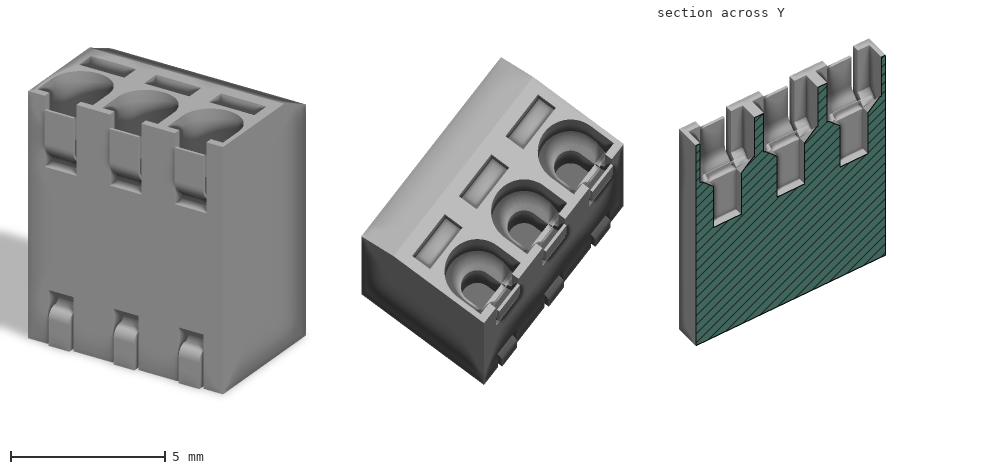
import cadquery as cq
import math

WIDTH = 7.5
DEPTH = 5.0
HEIGHT = 9.0
BEVEL_DEPTH = 1.31
BEVEL_DROP = 0.585

POLE_COUNT = 3
POLE_PITCH = 2.5
FIRST_POLE_X = WIDTH / 2 - POLE_PITCH * (POLE_COUNT - 1) / 2

SLOT_WIDTH = 1.75
SLOT_FRONT_Y = 2.48
SLOT_BACK_Y = 3.21
SLOT_DEPTH = 0.48
SLOT_BACK_SLANT = 0.045

ENTRY_RADIUS = 1.07
ENTRY_CENTRE_Y = 1.215
BORE_RADIUS = 0.54
FRONT_WALL = 0.27
FUNNEL_TOP_Z = HEIGHT - 1.68
FUNNEL_BOTTOM_Z = FUNNEL_TOP_Z - (ENTRY_RADIUS - BORE_RADIUS)
BORE_FLOOR_Z = 4.95
BORE_FRONT_Y = 0.65

POCKET_EDGE_Z = 7.14
POCKET_FLOOR_Z = 6.75
POCKET_BACK_Y = 0.97
PLATE_WIDTH = 2.01
PLATE_FRONT_Y = 0.45
PLATE_STEP_Y = 0.52
PLATE_RISE = 0.07

UPPER_NOTCH_WIDTH = 1.215
UPPER_NOTCH_FLOOR_Z = 6.42
UPPER_NOTCH_DEPTH = 0.47
UPPER_CLIP_WIDTH = 1.1
UPPER_CLIP_THICKNESS = 0.1
UPPER_CLIP_TOP_Z = 8.53
UPPER_CLIP_BEND_Z = 7.31
UPPER_CLIP_BOTTOM_Z = 6.57
UPPER_BEND_RADIUS = 0.5
UPPER_SLOPE_RUN = 0.29
UPPER_TOE_RUN = 0.04

LOWER_NOTCH_WIDTH = 1.01
LOWER_NOTCH_TOP_Z = 1.97
LOWER_NOTCH_DEPTH = 0.495
LOWER_RAMP_TOP_Z = 0.78
LOWER_RAMP_RUN = 0.27
LOWER_CLIP_WIDTH = 0.8
LOWER_CLIP_BEND_Z = 0.96
LOWER_CLIP_TOP_Z = 1.5
LOWER_BEND_RADIUS = 0.39

CLIP_PROTRUSION = 0.1
EMBED = 0.09


def across(x, width, sketch):
    """Extrude a closed YZ sketch symmetrically about the plane at x."""
    return sketch.extrude(width / 2, both=True).translate((x, 0, 0))


def yz_polygon(points):
    return cq.Workplane("YZ").polyline(points).close()


def box(x, width, y_range, z_range):
    y0, y1 = y_range
    z0, z1 = z_range
    return across(x, width, yz_polygon([(y0, z0), (y1, z0), (y1, z1), (y0, z1)]))


def rounded_passage(x, radius, front_y, z_range):
    """Vertical passage with a flat front and a semicircular back."""
    z0, z1 = z_range
    return (
        cq.Workplane("XY", origin=(x, 0, z0))
        .moveTo(-radius, front_y)
        .lineTo(radius, front_y)
        .lineTo(radius, ENTRY_CENTRE_Y)
        .threePointArc((0, ENTRY_CENTRE_Y + radius), (-radius, ENTRY_CENTRE_Y))
        .close()
        .extrude(z1 - z0)
    )


def housing():
    profile = yz_polygon([
        (0, 0),
        (DEPTH, 0),
        (DEPTH, HEIGHT - BEVEL_DROP),
        (DEPTH - BEVEL_DEPTH, HEIGHT),
        (0, HEIGHT),
    ])
    return across(WIDTH / 2, WIDTH, profile)


def test_slot(x):
    """Shallow slot whose back wall leans slightly forward toward the floor."""
    floor_z = HEIGHT - SLOT_DEPTH
    profile = yz_polygon([
        (SLOT_FRONT_Y, HEIGHT),
        (SLOT_FRONT_Y, floor_z),
        (SLOT_BACK_Y - SLOT_BACK_SLANT, floor_z),
        (SLOT_BACK_Y, HEIGHT),
    ])
    return across(x, SLOT_WIDTH, profile)


def funnel(x):
    """Cone at the back, continued forward by straight sloping sides."""
    half_section = [
        (0, FUNNEL_BOTTOM_Z),
        (BORE_RADIUS, FUNNEL_BOTTOM_Z),
        (ENTRY_RADIUS, FUNNEL_TOP_Z),
        (0, FUNNEL_TOP_Z),
    ]
    plane = cq.Workplane("XZ", origin=(x, ENTRY_CENTRE_Y, 0))
    cone = plane.polyline(half_section).close().revolve(360, (0, 0), (0, 1))
    throat = (
        plane.polyline([
            (-BORE_RADIUS, FUNNEL_BOTTOM_Z),
            (BORE_RADIUS, FUNNEL_BOTTOM_Z),
            (ENTRY_RADIUS, FUNNEL_TOP_Z),
            (-ENTRY_RADIUS, FUNNEL_TOP_Z),
        ])
        .close()
        .extrude(ENTRY_CENTRE_Y - BORE_FRONT_Y)
    )
    return cone.union(throat)


def contact_pocket(x):
    profile = yz_polygon([
        (FRONT_WALL, FUNNEL_TOP_Z),
        (FRONT_WALL, POCKET_EDGE_Z),
        (BORE_FRONT_Y, POCKET_FLOOR_Z),
        (POCKET_BACK_Y, FUNNEL_TOP_Z),
    ])
    return across(x, 2 * ENTRY_RADIUS, profile)


def contact_plate(x):
    """Plate on the pocket slope, ending flush with the front of the bore."""
    slope = (POCKET_EDGE_Z - POCKET_FLOOR_Z) / (BORE_FRONT_Y - FRONT_WALL)
    front_z = POCKET_EDGE_Z - slope * (PLATE_FRONT_Y - FRONT_WALL)
    step_z = POCKET_EDGE_Z - slope * (PLATE_STEP_Y - FRONT_WALL)
    profile = yz_polygon([
        (PLATE_FRONT_Y, front_z),
        (PLATE_STEP_Y, step_z + PLATE_RISE),
        (BORE_FRONT_Y, POCKET_FLOOR_Z + PLATE_RISE),
        (BORE_FRONT_Y, POCKET_FLOOR_Z - EMBED),
        (PLATE_FRONT_Y, front_z - EMBED),
    ])
    return across(x, PLATE_WIDTH, profile)


def wire_entry(x):
    upper = rounded_passage(x, ENTRY_RADIUS, FRONT_WALL, (FUNNEL_TOP_Z, HEIGHT))
    bore = rounded_passage(x, BORE_RADIUS, BORE_FRONT_Y, (BORE_FLOOR_Z, FUNNEL_TOP_Z))
    return upper.union(funnel(x)).union(bore).union(contact_pocket(x))


def upper_notch(x):
    return box(x, UPPER_NOTCH_WIDTH, (0, UPPER_NOTCH_DEPTH), (UPPER_NOTCH_FLOOR_Z, HEIGHT))


def clip_channel(x):
    """Gap through the contact plate and pocket slope for the bent clip end."""
    return box(
        x,
        UPPER_CLIP_WIDTH,
        (UPPER_NOTCH_DEPTH, BORE_FRONT_Y),
        (UPPER_CLIP_BOTTOM_Z, FUNNEL_TOP_Z),
    )


def upper_clip(x):
    """Upright tongue whose lower end bends back at 45 degrees, then runs level."""
    front_y = -CLIP_PROTRUSION
    back_y = front_y + UPPER_CLIP_THICKNESS
    slope_start_y = front_y + UPPER_BEND_RADIUS * (1 - math.sqrt(0.5))
    slope_start_z = UPPER_CLIP_BEND_Z - UPPER_BEND_RADIUS * math.sqrt(0.5)
    slope_end_y = slope_start_y + UPPER_SLOPE_RUN
    slope_end_z = slope_start_z - UPPER_SLOPE_RUN
    slope_offset = UPPER_CLIP_THICKNESS * math.sqrt(0.5)
    profile = (
        cq.Workplane("YZ")
        .moveTo(front_y, UPPER_CLIP_TOP_Z)
        .lineTo(front_y, UPPER_CLIP_BEND_Z)
        .tangentArcPoint((slope_start_y, slope_start_z), relative=False)
        .lineTo(slope_end_y, slope_end_z)
        .lineTo(slope_end_y + UPPER_TOE_RUN, UPPER_CLIP_BOTTOM_Z)
        .lineTo(BORE_FRONT_Y, UPPER_CLIP_BOTTOM_Z)
        .lineTo(BORE_FRONT_Y, slope_end_z + slope_offset)
        .lineTo(slope_end_y + slope_offset, slope_end_z + slope_offset)
        .lineTo(slope_start_y + slope_offset, slope_start_z + slope_offset)
        .tangentArcPoint((back_y, UPPER_CLIP_BEND_Z), relative=False)
        .lineTo(back_y, UPPER_CLIP_TOP_Z)
        .close()
    )
    return across(x, UPPER_CLIP_WIDTH, profile)


def lower_notch(x):
    """Notch open at the bottom, its back wall ramping outward near the base."""
    profile = yz_polygon([
        (0, 0),
        (LOWER_NOTCH_DEPTH - LOWER_RAMP_RUN, 0),
        (LOWER_NOTCH_DEPTH, LOWER_RAMP_TOP_Z),
        (LOWER_NOTCH_DEPTH, LOWER_NOTCH_TOP_Z),
        (0, LOWER_NOTCH_TOP_Z),
    ])
    return across(x, LOWER_NOTCH_WIDTH, profile)


def lower_clip(x):
    """Upright foot with a rounded shoulder that curves up into the notch wall."""
    front_y = -CLIP_PROTRUSION
    profile = (
        cq.Workplane("YZ")
        .moveTo(front_y, 0)
        .lineTo(front_y, LOWER_CLIP_BEND_Z)
        .tangentArcPoint((LOWER_BEND_RADIUS, LOWER_BEND_RADIUS))
        .tangentArcPoint((LOWER_NOTCH_DEPTH, LOWER_CLIP_TOP_Z), relative=False)
        .lineTo(LOWER_NOTCH_DEPTH + EMBED, LOWER_CLIP_TOP_Z)
        .lineTo(LOWER_NOTCH_DEPTH + EMBED, 0)
        .close()
    )
    return across(x, LOWER_CLIP_WIDTH, profile)


result = housing()
for pole in range(POLE_COUNT):
    pole_x = FIRST_POLE_X + pole * POLE_PITCH
    for cavity in (test_slot, wire_entry, upper_notch, lower_notch):
        result = result.cut(cavity(pole_x))
    result = result.union(contact_plate(pole_x)).cut(clip_channel(pole_x))
    for clip in (upper_clip, lower_clip):
        result = result.union(clip(pole_x))